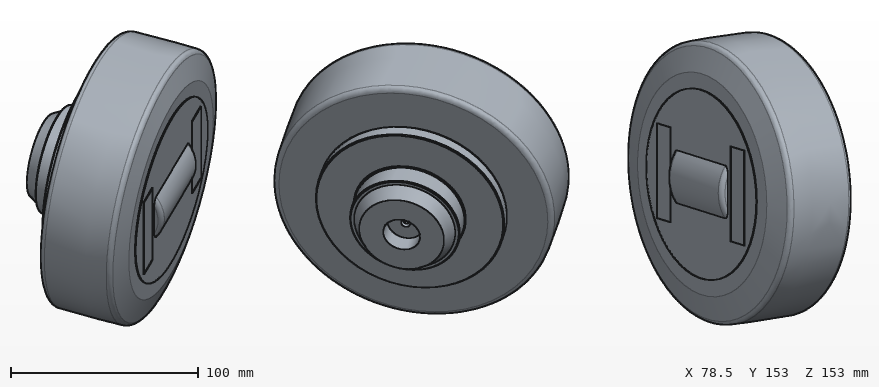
import cadquery as cq
import math

overall_length = 78.5

nose_tip_radius = 23.1
nose_base_radius = 27.5
collar_x = 7.5
collar_radius = 30.0
edge_chamfer = 0.6

flange_x = 20.0
flange_end_x = 27.9
flange_radius = 51.5
neck_radius = 50.7
collar_groove_radius = 30.6
collar_groove_depth = 0.5

wheel_x = 28.3
wheel_end_x = 73.3
wheel_radius = 76.5
tread_edge_radius = 76.2
wheel_fillet = 3.0
shoulder_radius = 60.3
shoulder_angle = math.radians(15)
shoulder_x = wheel_end_x - (tread_edge_radius - shoulder_radius) * math.tan(shoulder_angle)

disc_radius = 51.5
disc_height = 0.6
pad_height = 0.5
pad_inner_y = 28.2
pad_outer_y = 40.7
pad_length = 51.7

roller_radius = 25.0
roller_length = 50.0
roller_fillet = 2.6

bore_diameter = 20.0
bore_depth = 10.0
port_diameter = 3.0
port_mouth_diameter = 4.9
port_depth = 3.0
port_taper_depth = 1.5


def revolve_x(profile):
    """Revolve a closed (x, radius) profile about the X axis."""
    return profile.close().revolve(360, (0, 0, 0), (1, 0, 0))


def make_shaft():
    """Nose, collar, flange and neck, with a narrow groove between collar and flange."""
    return revolve_x(
        cq.Workplane("XY")
        .lineTo(0, nose_tip_radius)
        .lineTo(collar_x, nose_base_radius)
        .lineTo(collar_x, collar_radius - edge_chamfer)
        .lineTo(collar_x + edge_chamfer, collar_radius)
        .lineTo(flange_x - edge_chamfer, collar_radius)
        .lineTo(flange_x, collar_radius - edge_chamfer)
        .lineTo(flange_x + collar_groove_depth, collar_radius - edge_chamfer)
        .lineTo(flange_x, collar_groove_radius)
        .lineTo(flange_x, flange_radius - edge_chamfer)
        .lineTo(flange_x + edge_chamfer, flange_radius)
        .lineTo(flange_end_x - edge_chamfer, flange_radius)
        .lineTo(flange_end_x, flange_radius - edge_chamfer)
        .lineTo(flange_end_x, neck_radius)
        .lineTo(wheel_x, neck_radius)
        .lineTo(wheel_x, 0)
    )


def make_wheel():
    """Crowned wheel with both tread edges rounded."""
    wheel = revolve_x(
        cq.Workplane("XY")
        .moveTo(wheel_x, 0)
        .lineTo(wheel_x, tread_edge_radius)
        .threePointArc(((wheel_x + shoulder_x) / 2, wheel_radius), (shoulder_x, tread_edge_radius))
        .lineTo(wheel_end_x, shoulder_radius)
        .lineTo(wheel_end_x, 0)
    )
    tread_edges = cq.selectors.RadiusNthSelector(-2)
    return wheel.edges("%CIRCLE").edges(tread_edges).fillet(wheel_fillet)


def make_rear_face():
    """Raised disc with a rectangular pad on each side of the roller."""
    disc = cq.Workplane("YZ", origin=(wheel_end_x, 0, 0)).circle(disc_radius).extrude(disc_height)
    pad_center_y = (pad_inner_y + pad_outer_y) / 2
    pads = (
        cq.Workplane("YZ", origin=(wheel_end_x, 0, 0))
        .pushPoints([(-pad_center_y, 0), (pad_center_y, 0)])
        .rect(pad_outer_y - pad_inner_y, pad_length)
        .extrude(disc_height + pad_height)
    )
    return disc.union(pads)


def make_roller():
    """Cylinder along Y with rounded ends, whose crest sets the overall length."""
    return (
        cq.Workplane("XZ", origin=(overall_length - roller_radius, 0, 0))
        .circle(roller_radius)
        .extrude(roller_length / 2, both=True)
        .edges("%CIRCLE")
        .fillet(roller_fillet)
    )


def make_bore():
    """Blind bore with a small port that tapers inwards at its floor."""
    port_end_x = bore_depth + port_depth
    return revolve_x(
        cq.Workplane("XY")
        .lineTo(0, bore_diameter / 2)
        .lineTo(bore_depth, bore_diameter / 2)
        .lineTo(bore_depth, port_mouth_diameter / 2)
        .lineTo(bore_depth + port_taper_depth, port_diameter / 2)
        .lineTo(port_end_x, port_diameter / 2)
        .lineTo(port_end_x, 0)
    )


body = make_shaft().union(make_wheel()).union(make_rear_face()).union(make_roller())
result = body.cut(make_bore())